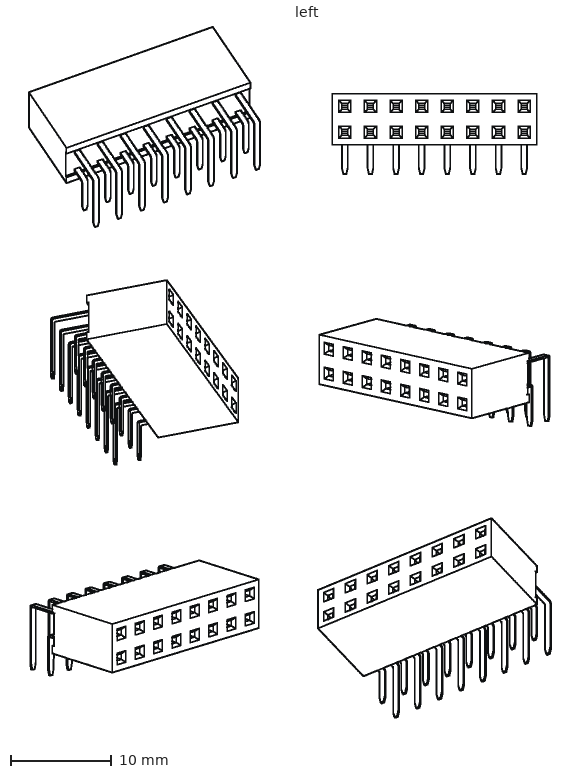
import cadquery as cq


PITCH = 2.54
COLUMNS = 8
ROWS = 2

BODY_DEPTH = 8.5
BODY_LENGTH = COLUMNS * PITCH
BODY_HEIGHT = ROWS * PITCH
RECESS_DEPTH = 0.22
RECESS_MARGIN = 0.83
REAR_WALL_X = BODY_DEPTH - RECESS_DEPTH

PIN_WIDTH = 0.6
PIN_THICKNESS = 0.2
PIN_START_X = 5.0
PIN_DROP = 2.9
BEND_OUTER_RADIUS = 0.3
BEND_INNER_RADIUS = BEND_OUTER_RADIUS - PIN_THICKNESS
TIP_WIDTH = 0.32
TIP_LENGTH = 0.62
OUTERMOST_X = 12.67

SOCKET_MOUTH = 1.2
SOCKET_BORE = PIN_WIDTH
FUNNEL_DEPTH = 0.31
BORE_END_X = 6.0

COLUMN_YS = [(column - (COLUMNS - 1) / 2) * PITCH for column in range(COLUMNS)]
ROW_ZS = [(row + 0.5) * PITCH for row in range(ROWS)]


def make_housing():
    """Rectangular block with a full-length shallow recess in its rear face."""
    block = cq.Workplane("XY").box(
        BODY_DEPTH, BODY_LENGTH, BODY_HEIGHT, centered=(False, True, False)
    )
    recess = (
        cq.Workplane("XY")
        .box(
            RECESS_DEPTH,
            BODY_LENGTH,
            BODY_HEIGHT - 2 * RECESS_MARGIN,
            centered=(False, True, False),
        )
        .translate((REAR_WALL_X, 0, RECESS_MARGIN))
    )
    return block.cut(recess)


def make_socket(y, z):
    """Square funnel that narrows into a square blind bore."""
    funnel = (
        cq.Workplane("YZ", origin=(0, y, z))
        .rect(SOCKET_MOUTH, SOCKET_MOUTH)
        .workplane(offset=FUNNEL_DEPTH)
        .rect(SOCKET_BORE, SOCKET_BORE)
        .loft(ruled=True)
    )
    bore = (
        cq.Workplane("YZ", origin=(FUNNEL_DEPTH, y, z))
        .rect(SOCKET_BORE, SOCKET_BORE)
        .extrude(BORE_END_X - FUNNEL_DEPTH)
    )
    return funnel.union(bore)


def make_pin(row, y):
    """Flat strip that leaves the rear wall, bends down and ends in a tapered tip."""
    leg_outer_x = OUTERMOST_X - (ROWS - 1 - row) * PITCH
    leg_inner_x = leg_outer_x - PIN_THICKNESS
    top_z = ROW_ZS[row] + PIN_THICKNESS / 2
    underside_z = top_z - PIN_THICKNESS
    bend_x = leg_outer_x - BEND_OUTER_RADIUS
    bend_z = top_z - BEND_OUTER_RADIUS

    strip = (
        cq.Workplane("XZ", origin=(0, y, 0))
        .moveTo(PIN_START_X, top_z)
        .lineTo(bend_x, top_z)
        .radiusArc((leg_outer_x, bend_z), BEND_OUTER_RADIUS)
        .lineTo(leg_outer_x, -PIN_DROP)
        .lineTo(leg_inner_x, -PIN_DROP)
        .lineTo(leg_inner_x, bend_z)
        .radiusArc((bend_x, underside_z), -BEND_INNER_RADIUS)
        .lineTo(PIN_START_X, underside_z)
        .close()
        .extrude(PIN_WIDTH / 2, both=True)
    )

    tip_top_z = TIP_LENGTH - PIN_DROP
    for side in (-1, 1):
        corner = (
            cq.Workplane("YZ", origin=(leg_inner_x, y, 0))
            .moveTo(side * PIN_WIDTH / 2, tip_top_z)
            .lineTo(side * PIN_WIDTH / 2, -PIN_DROP)
            .lineTo(side * TIP_WIDTH / 2, -PIN_DROP)
            .close()
            .extrude(PIN_THICKNESS)
        )
        strip = strip.cut(corner)
    return strip


sockets = [make_socket(y, z).val() for y in COLUMN_YS for z in ROW_ZS]
pins = [make_pin(row, y).val() for y in COLUMN_YS for row in range(ROWS)]

socketed_housing = make_housing().cut(cq.Workplane(cq.Compound.makeCompound(sockets)))
result = socketed_housing.union(cq.Workplane(cq.Compound.makeCompound(pins)))